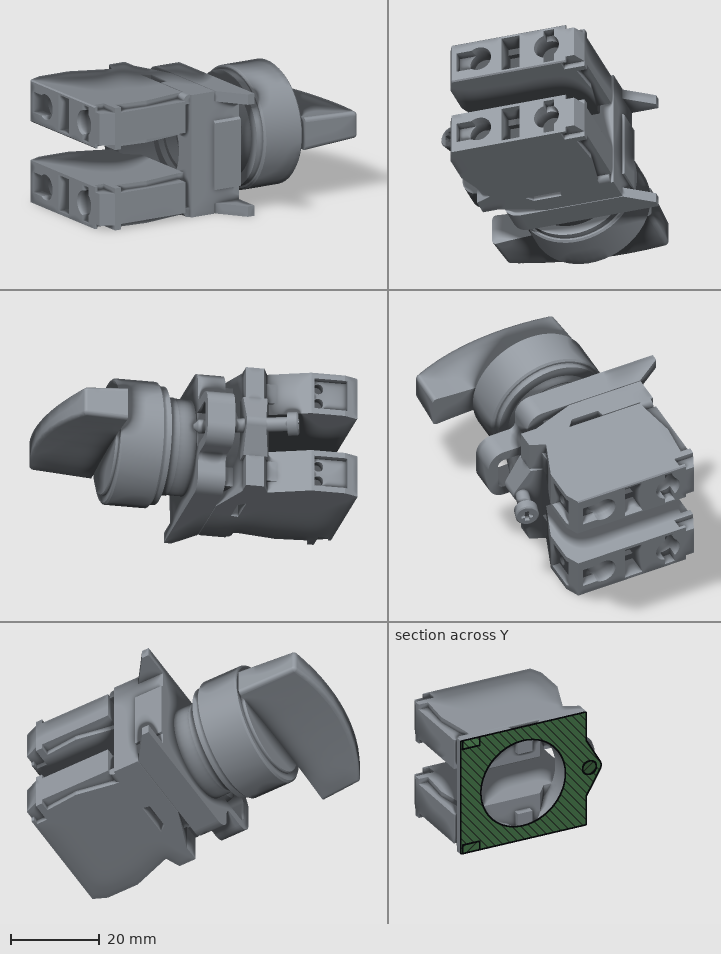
import cadquery as cq
import math


height = 28.6
half_height = height / 2
block_front_y = -36.35
knob_top_y = block_front_y + 71.15
right_x = 15.9
left_x = -16.1

bezel_dia = height
bezel_front_y = 18.1
bezel_back_y = 7.8
bezel_chamfer = 0.4
dial_dia = 24.5
dial_chamfer = 0.2
seal_dia = 26.8
seal_back_y = 6.25
neck_dia = 22.2
neck_back_y = 3.9
barrel_dia = 21.85
bore_dia = 21.35
spigot_back_y = -6.3
recess_dia = 15.5
half_step_dia = 17.35
recess_depth = 4.3
half_step_depth = 1.4

knob_base_y = 18.8
knob_left_x = -23.75
knob_right_x = 14.15
knob_thickness = 7.75
knob_taper = 2.6
knob_left_y = 28.25
knob_right_y = 32.9
knob_peak_x = 0.5
knob_waist_depth = 0.8
knob_round = 0.9

plate_depth = 6.3
corner_radius = 3.85
lug_left_x = -22.3
lug_half_width = 6.4
lug_radius = 3.9
lug_root_radius = 1.6
shoulder_x = -12.5
slot_wall = 2.35
slot_right_x = -11.5
arm_right_x = 22.2
arm_thickness = 2.4
arm_tip_depth = 1.7
tab_right_x = 16.5
tab_half_width = 8.05
tab_z = -0.6
tab_depth = 6.9
tab_chamfer = 0.5
saddle_top_y = -6.55
ring_radius = 11.3
bridge_left_x = -8.6
bridge_half_width = 11.9
seat_y = -12.8
hook_y = -15.95
hook_foot_left_x = -12.6
hook_foot_right_x = -7.75
window_left_x = -3.7
window_right_x = 2.85
window_y = -11.1
nose_top_y = -9.6
nose_tip_x = -19.85
nose_tip_half = 1.15
nose_tip_bulge = 0.35
nose_half_width = 7.05
nose_foot_x = -13.8

screw_tilt = 17.3
screw_head_x = -20.05
screw_head_y = -21.5
screw_length = 23.7
screw_head_dia = 5.35
screw_head_length = 2.4
screw_head_chamfer = 0.3
shank_dia = 3.2
point_length = 1.15
point_tip_dia = 1.15
drive_length = 2.7
drive_width = 1.0
drive_depth = 1.6

block_width = 9.8
block_z = half_height - block_width / 2
block_edge_bevel = 0.3
flank_y = -25.3
end_chamfer_y = -33.15
end_chamfer_run = 1.4
latch_thickness = 2.1
neck_left_x = 12.6
neck_right_x = 15.2
right_shoulder_y = -14.4
relief_depth = 1.3
notch_depth = 1.2
terminal_dia = 5.9
terminal_floor_dia = 5.2
terminal_depth = 5.0
terminal_left_x = -8.25
terminal_right_x = 7.9
entry_left_x = -13.5
entry_height = 4.85
entry_depth = 2.5
driver_slot_x = 8.4
driver_slot_width = 2.5
cavity_height = 8.4
marker_left_x = -2.85
marker_right_x = 1.5
marker_inner_height = 5.3
marker_depth = 5.0
marker_inner_depth = 6.4
side_pocket_back_y = -26.1
side_pocket_front_y = -33.7
side_pocket_height = 7.2
side_pocket_depth = 1.85
wire_hole_dia = 2.35
wire_hole_y = -27.3
wire_hole_pitch = 3.5
wire_hole_depth = 2.1
stop_height = 4.6
stop_left_x = -13.45
stop_front_y = -18.1
plunger_left_x = -2.4
plunger_right_x = 1.3
plunger_height = 3.7


def slab(points, z_low, z_high):
    """Prism with an XY outline, from z_low to z_high."""
    outline = cq.Workplane("XY", origin=(0, 0, z_low)).polyline(points).close()
    return outline.extrude(z_high - z_low)


def box(x_low, x_high, y_low, y_high, z_low, z_high):
    size = (x_high - x_low, y_high - y_low, z_high - z_low)
    return cq.Workplane("XY").box(*size, centered=False).translate((x_low, y_low, z_low))


def disc(dia, y_back, y_front, x=0.0, z=0.0):
    """Cylinder along Y."""
    return cq.Workplane("XZ", origin=(x, y_front, z)).circle(dia / 2).extrude(y_front - y_back)


def make_knob():
    """Drafted handle with waisted sides and a long arc for its top."""
    half_length = (knob_right_x - knob_left_x) / 2
    half_thickness = knob_thickness / 2
    half_waist = half_thickness - knob_waist_depth
    base = cq.Plane(
        origin=(knob_left_x + half_length, knob_base_y, 0), xDir=(1, 0, 0), normal=(0, 1, 0)
    )
    stock = (
        cq.Workplane(base)
        .moveTo(-half_length, -half_thickness)
        .threePointArc((0, -half_waist), (half_length, -half_thickness))
        .lineTo(half_length, half_thickness)
        .threePointArc((0, half_waist), (-half_length, half_thickness))
        .close()
        .extrude(knob_top_y - knob_base_y + 0.7, taper=knob_taper)
    )
    under_arc = (
        cq.Workplane("XY", origin=(0, 0, -knob_thickness))
        .moveTo(knob_left_x, knob_base_y)
        .lineTo(knob_left_x, knob_left_y)
        .threePointArc((knob_peak_x, knob_top_y), (knob_right_x, knob_right_y))
        .lineTo(knob_right_x, knob_base_y)
        .close()
        .extrude(2 * knob_thickness)
    )
    knob = stock.intersect(under_arc)
    return knob.edges("not(<Y)").fillet(knob_round)


def make_head():
    head = make_knob()
    head = head.union(disc(dial_dia, bezel_front_y, knob_base_y).faces(">Y").chamfer(dial_chamfer))
    head = head.union(
        disc(bezel_dia, bezel_back_y, bezel_front_y).faces("<Y or >Y").chamfer(bezel_chamfer)
    )
    head = head.union(disc(seal_dia, seal_back_y, bezel_back_y))
    head = head.union(disc(neck_dia, neck_back_y, seal_back_y))
    head = head.union(disc(barrel_dia, 0, neck_back_y))
    head = head.union(disc(bore_dia, spigot_back_y, 0))
    head = head.cut(disc(recess_dia, spigot_back_y, spigot_back_y + recess_depth))
    step_y = spigot_back_y + half_step_depth
    left_half = box(-half_step_dia, 0, spigot_back_y, step_y, -half_step_dia, half_step_dia)
    return head.cut(disc(half_step_dia, spigot_back_y, step_y).intersect(left_half))


def make_screw():
    """Screw built along +Y from its head face, then tilted about Z."""
    points = [
        (0, 0),
        (screw_head_dia / 2 - screw_head_chamfer, 0),
        (screw_head_dia / 2, screw_head_chamfer),
        (screw_head_dia / 2, screw_head_length),
        (shank_dia / 2, screw_head_length),
        (shank_dia / 2, screw_length - point_length),
        (point_tip_dia / 2, screw_length),
        (0, screw_length),
    ]
    screw = cq.Workplane("XY").polyline(points).close().revolve(360, (0, 0, 0), (0, 1, 0))
    for size in ((drive_length, drive_width), (drive_width, drive_length)):
        screw = screw.cut(cq.Workplane("XZ").rect(*size).extrude(-drive_depth))
    screw = screw.rotate((0, 0, 0), (0, 0, 1), -screw_tilt)
    return screw.translate((screw_head_x, screw_head_y, 0))


def make_plate():
    """Panel-side plate with its rounded lug, the lug slot and the two long arms."""
    diagonal = math.sqrt(0.5)
    lug_flat_left_x = lug_left_x + lug_radius
    lug_flat_z = lug_half_width - lug_radius
    root_x = shoulder_x - lug_root_radius
    root_z = lug_half_width + lug_root_radius
    corner_x = shoulder_x + corner_radius
    corner_z = half_height - corner_radius
    plate = (
        cq.Workplane("XZ")
        .moveTo(right_x, 0)
        .lineTo(right_x, half_height)
        .lineTo(corner_x, half_height)
        .threePointArc(
            (corner_x - corner_radius * diagonal, corner_z + corner_radius * diagonal),
            (shoulder_x, corner_z),
        )
        .lineTo(shoulder_x, root_z)
        .threePointArc(
            (root_x + lug_root_radius * diagonal, root_z - lug_root_radius * diagonal),
            (root_x, lug_half_width),
        )
        .lineTo(lug_flat_left_x, lug_half_width)
        .threePointArc(
            (lug_flat_left_x - lug_radius * diagonal, lug_flat_z + lug_radius * diagonal),
            (lug_left_x, lug_flat_z),
        )
        .lineTo(lug_left_x, 0)
        .mirrorX()
        .extrude(plate_depth)
    )
    slot_left_x = lug_left_x + slot_wall
    slot_half = lug_half_width - slot_wall
    slot = box(slot_left_x, slot_right_x, -plate_depth, 0, -slot_half, slot_half)
    plate = plate.cut(slot.edges("|Y and <X").fillet(lug_radius - slot_wall))
    arm_outline = [
        (right_x, 0), (arm_right_x, 0), (arm_right_x, -arm_tip_depth), (right_x, -plate_depth),
    ]
    plate = plate.union(slab(arm_outline, half_height - arm_thickness, half_height))
    plate = plate.union(slab(arm_outline, -half_height, arm_thickness - half_height))
    tab = box(right_x, tab_right_x, -tab_depth, 0, tab_z - tab_half_width, tab_z + tab_half_width)
    return plate.union(tab.edges("|Y and >X and >Z").chamfer(tab_chamfer))


def make_saddle():
    """Lower part of the collar that the contact blocks hook onto."""
    outline = [
        (right_x, saddle_top_y),
        (-2.05, saddle_top_y),
        (-12.25, -10.25),
        (left_x, -10.25),
        (left_x, -14.45),
        (hook_foot_left_x, hook_y),
        (hook_foot_right_x, hook_y),
        (window_left_x, window_y),
        (window_right_x, window_y),
        (window_right_x + 0.35, seat_y),
        (right_x, seat_y),
    ]
    saddle = slab(outline, -half_height, half_height)
    bridge = box(
        bridge_left_x, right_x, window_y, -plate_depth, -bridge_half_width, bridge_half_width
    )
    ring = disc(2 * ring_radius, window_y, -plate_depth)
    return saddle.union(bridge).union(ring)


def make_nose():
    """Wedge that carries the clamp screw; its underside is square to the screw."""
    nose_tip_y = hook_y + (nose_foot_x - nose_tip_x) * math.tan(math.radians(screw_tilt))
    side = [
        (nose_tip_x, nose_top_y),
        (hook_foot_left_x, nose_top_y),
        (hook_foot_left_x, hook_y),
        (nose_foot_x, hook_y),
        (nose_tip_x, nose_tip_y),
    ]
    tip_side_x = nose_tip_x + nose_tip_bulge
    plan = (
        cq.Workplane("XZ")
        .moveTo(tip_side_x, -nose_tip_half)
        .threePointArc((nose_tip_x, 0), (tip_side_x, nose_tip_half))
        .lineTo(left_x, nose_half_width)
        .lineTo(hook_foot_left_x, nose_half_width)
        .lineTo(hook_foot_left_x, -nose_half_width)
        .lineTo(left_x, -nose_half_width)
        .close()
        .extrude(-hook_y)
    )
    wedge = slab(side, -nose_half_width, nose_half_width)
    return wedge.intersect(plan)


def make_collar(screw, latches):
    collar = make_plate().union(make_saddle()).union(make_nose())
    collar = collar.cut(disc(bore_dia, hook_y, 0))
    collar = collar.cut(screw)
    for latch in latches:
        collar = collar.cut(latch)
    return collar


def make_latch(side):
    """Hook on the outer face of one block; side is +1 for the upper block."""
    outline = [
        (neck_right_x, right_shoulder_y),
        (neck_right_x, -9.4),
        (12.8, -9.4),
        (10.6, -11.5),
        (10.6, -12.0),
        (neck_left_x, -12.0),
        (neck_left_x, right_shoulder_y),
    ]
    inner_z = side * (half_height - latch_thickness)
    outer_z = side * half_height
    latch = slab(outline, min(inner_z, outer_z), max(inner_z, outer_z))
    neck_edge = latch.faces("<Y").edges(">Z" if side > 0 else "<Z")
    return neck_edge.fillet(relief_depth)


def make_housing(bevel):
    """Plain housing centred on z = 0; bevel breaks its long front and back edges."""
    half = block_width / 2
    seat_left_x = hook_foot_right_x + (window_left_x - hook_foot_right_x) * (seat_y - hook_y) / (
        window_y - hook_y
    )
    outline = [
        (seat_left_x, seat_y),
        (neck_left_x, seat_y),
        (neck_left_x, right_shoulder_y),
        (right_x, right_shoulder_y),
        (right_x, end_chamfer_y),
        (right_x - end_chamfer_run, block_front_y),
        (left_x + end_chamfer_run, block_front_y),
        (left_x, end_chamfer_y),
        (left_x, flank_y),
        (hook_foot_left_x, hook_y),
        (hook_foot_right_x, hook_y),
    ]
    housing = slab(outline, -half, half)
    if bevel > 0:
        housing = housing.faces("<Y or >Y").edges("|X").chamfer(bevel)
    stop = [
        (stop_left_x, -15.6),
        (hook_foot_left_x, hook_y),
        (hook_foot_left_x, stop_front_y),
        (stop_left_x, stop_front_y),
    ]
    housing = housing.union(slab(stop, -stop_height / 2, stop_height / 2))
    return housing.union(
        box(
            plunger_left_x, plunger_right_x, seat_y, window_y, -plunger_height / 2, plunger_height / 2
        )
    )


def cut_side_faces(block):
    """Shallow relief and corner notch on both large faces."""
    half = block_width / 2
    relief = [
        (neck_left_x, right_shoulder_y),
        (14.2, -23.7),
        (13.5, -31.6),
        (right_x, -31.6),
        (right_x, right_shoulder_y),
    ]
    notch = [
        (11.1, end_chamfer_y),
        (right_x, end_chamfer_y),
        (right_x, block_front_y),
        (12.45, block_front_y),
        (12.45, -35.65),
        (11.1, -35.65),
    ]
    for outline, depth in ((relief, relief_depth), (notch, notch_depth)):
        block = block.cut(slab(outline, half - depth, half))
        block = block.cut(slab(outline, -half, depth - half))
    return block


def front_pocket(x_low, x_high, pocket_height, depth):
    z_high = pocket_height / 2
    return box(x_low, x_high, block_front_y, block_front_y + depth, -z_high, z_high)


def cut_front_face(block):
    """Tapered screw wells, the wire entry, the driver slot and the stepped marker pocket."""
    for x in (terminal_left_x, terminal_right_x):
        well = cq.Solid.makeCone(
            terminal_dia / 2, terminal_floor_dia / 2, terminal_depth,
            pnt=cq.Vector(x, block_front_y, 0), dir=cq.Vector(0, 1, 0),
        )
        block = block.cut(cq.Workplane(well))
    slot_left_x = driver_slot_x - driver_slot_width / 2
    slot_right = driver_slot_x + driver_slot_width / 2
    block = block.cut(front_pocket(entry_left_x, terminal_left_x, entry_height, entry_depth))
    block = block.cut(front_pocket(slot_left_x, slot_right, cavity_height, entry_depth))
    block = block.cut(front_pocket(marker_left_x, marker_right_x, cavity_height, marker_depth))
    return block.cut(
        front_pocket(marker_left_x, marker_right_x, marker_inner_height, marker_inner_depth)
    )


def cut_left_end(block):
    """Wire pocket with two round holes in its floor."""
    floor_x = left_x + side_pocket_depth
    half = side_pocket_height / 2
    block = block.cut(box(left_x, floor_x, side_pocket_front_y, side_pocket_back_y, -half, half))
    for z in (-wire_hole_pitch / 2, wire_hole_pitch / 2):
        hole = cq.Workplane("YZ", origin=(floor_x, wire_hole_y, z)).circle(wire_hole_dia / 2)
        block = block.cut(hole.extrude(wire_hole_depth))
    return block


def make_contact_block(side, bevel):
    block = cut_left_end(cut_front_face(cut_side_faces(make_housing(bevel))))
    return block.translate((0, 0, side * block_z)).union(make_latch(side))


head = make_head()
screw = make_screw()
collar = make_collar(screw, [make_latch(side) for side in (1, -1)])
contact_blocks = [
    make_contact_block(side, bevel).val() for side, bevel in ((1, block_edge_bevel), (-1, 0))
]

result = cq.Compound.makeCompound([head.val(), collar.val(), screw.val(), *contact_blocks])